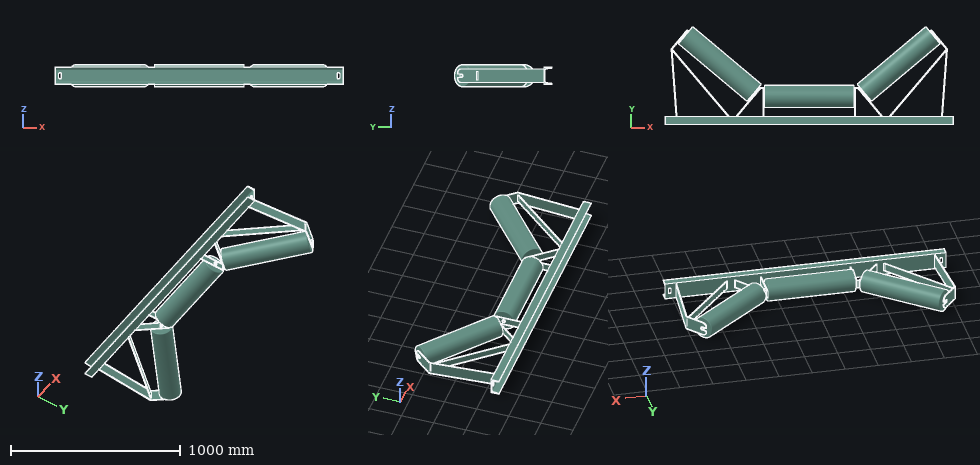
import cadquery as cq
import math

CHANNEL_LENGTH = 1700.0
CHANNEL_HEIGHT = 100.0
CHANNEL_DEPTH = 50.0
WEB_THICKNESS = 6.0
FLANGE_ROOT = 11.0
FLANGE_TOE = 6.0
ROOT_RADIUS = 8.0
TOE_RADIUS = 4.2
MOUNT_SLOT_WIDTH = 15.0
MOUNT_SLOT_HEIGHT = 35.0
MOUNT_SLOT_INSET = 29.0

ROLLER_DIAMETER = 133.0
ROLLER_LENGTH = 529.0
ROLLER_EDGE_RADIUS = 5.0
SHAFT_DIAMETER = 19.0
TROUGH_ANGLE = 40.0
CENTER_AXIS_Y = 167.0
OVERALL_DEPTH = 576.0
WING_CENTER_X = -527.0

SHEET = 6.0
WING_GAP = 7.0
CENTER_GAP = 3.0
OUTER_WIDTH = 82.0
TAB_ABOVE_AXIS = 30.0
BEND_BELOW_AXIS = 117.0
TAB_CORNER_RADIUS = 27.0
BEND_INNER_RADIUS = 7.6
OUTER_FOOT_X = -785.0
INNER_WIDTH = 50.0
INNER_TOP_Y = 220.0
BRACE_WIDTH = 50.0
BRACE_FOOT_X = -476.0

COS = math.cos(math.radians(TROUGH_ANGLE))
SIN = math.sin(math.radians(TROUGH_ANGLE))

WALL_NEAR = ROLLER_LENGTH / 2 + WING_GAP
WALL_FAR = WALL_NEAR + SHEET

WING_CENTER_Y = (
    OVERALL_DEPTH
    - ROLLER_EDGE_RADIUS
    - (ROLLER_LENGTH / 2 - ROLLER_EDGE_RADIUS) * SIN
    - (ROLLER_DIAMETER / 2 - ROLLER_EDGE_RADIUS) * COS
)


def wing_point(along, across):
    """XY point measured from the left roller's middle: along its axis (downhill) and across it (up)."""
    return (
        WING_CENTER_X + along * COS + across * SIN,
        WING_CENTER_Y - along * SIN + across * COS,
    )


def wing_wall_x(along, y):
    """X at which the wall plane square to the left roller's axis has the given Y."""
    plane_x, plane_y = wing_point(along, 0)
    return plane_x + (y - plane_y) * SIN / COS


def place_on_wing(body):
    """Moves a body built along X about the origin onto the left roller's axis."""
    return body.rotate((0, 0, 0), (0, 0, 1), -TROUGH_ANGLE).translate((WING_CENTER_X, WING_CENTER_Y, 0))


def sheet(outline, width):
    """Sheet-metal strip with the given XY edge outline, centred on Z = 0."""
    return cq.Workplane("XY").polyline(outline).close().extrude(width / 2, both=True)


def make_channel():
    half_height = CHANNEL_HEIGHT / 2
    web_front = CHANNEL_DEPTH - WEB_THICKNESS
    root_z = half_height - FLANGE_ROOT
    toe_z = half_height - FLANGE_TOE
    channel = (
        cq.Workplane("YZ")
        .polyline([
            (CHANNEL_DEPTH, -half_height),
            (CHANNEL_DEPTH, half_height),
            (0, half_height),
            (0, toe_z),
            (web_front, root_z),
            (web_front, -root_z),
            (0, -toe_z),
            (0, -half_height),
        ])
        .close()
        .extrude(CHANNEL_LENGTH / 2, both=True)
    )
    for z in (root_z, -root_z):
        channel = channel.edges(cq.NearestToPointSelector((0, web_front, z))).fillet(ROOT_RADIUS)
    for z in (toe_z, -toe_z):
        channel = channel.edges(cq.NearestToPointSelector((0, 0, z))).fillet(TOE_RADIUS)

    slot_x = CHANNEL_LENGTH / 2 - MOUNT_SLOT_INSET
    slots = (
        cq.Workplane("XZ")
        .pushPoints([(-slot_x, 0), (slot_x, 0)])
        .slot2D(MOUNT_SLOT_HEIGHT, MOUNT_SLOT_WIDTH, 90)
        .extrude(-CHANNEL_DEPTH)
    )
    return channel.cut(slots)


def make_roller(gap):
    """Roller and shaft along X about the origin; the shaft ends flush with the walls' far faces."""
    roller_end = ROLLER_LENGTH / 2
    shaft_end = roller_end + gap + SHEET
    return (
        cq.Workplane("XY")
        .polyline([
            (-shaft_end, 0),
            (-shaft_end, SHAFT_DIAMETER / 2),
            (-roller_end, SHAFT_DIAMETER / 2),
            (-roller_end, ROLLER_DIAMETER / 2),
            (roller_end, ROLLER_DIAMETER / 2),
            (roller_end, SHAFT_DIAMETER / 2),
            (shaft_end, SHAFT_DIAMETER / 2),
            (shaft_end, 0),
        ])
        .close()
        .revolve(360, (0, 0, 0), (1, 0, 0))
        .edges(cq.selectors.RadiusNthSelector(-1))
        .fillet(ROLLER_EDGE_RADIUS)
    )


def make_center_roller():
    return make_roller(CENTER_GAP).translate((0, CENTER_AXIS_Y, 0))


def make_wing_roller():
    return place_on_wing(make_roller(WING_GAP))


BEND_OUTER = wing_point(-WALL_FAR, -BEND_BELOW_AXIS)
LEG_ANGLE = math.atan2(OUTER_FOOT_X - BEND_OUTER[0], BEND_OUTER[1] - CHANNEL_DEPTH)
LEG_COS = math.cos(LEG_ANGLE)
LEG_SIN = math.sin(LEG_ANGLE)
MITER = SHEET / (1 + COS * LEG_COS - SIN * LEG_SIN)
BEND_INNER = (
    BEND_OUTER[0] + MITER * (COS + LEG_COS),
    BEND_OUTER[1] + MITER * (LEG_SIN - SIN),
)


def make_shaft_slot():
    """Cutter for the outer tab: a round-bottomed slot for the shaft, open at the tab's end."""
    slot_length = 2 * TAB_ABOVE_AXIS
    bottom = cq.Workplane("YZ").circle(SHAFT_DIAMETER / 2).extrude(SHEET)
    throat = (
        cq.Workplane("YZ")
        .center(slot_length / 2, 0)
        .rect(slot_length, SHAFT_DIAMETER)
        .extrude(SHEET)
    )
    return place_on_wing(bottom.union(throat).translate((-WALL_FAR, 0, 0)))


def make_outer_bracket():
    bracket = sheet([
        wing_point(-WALL_FAR, TAB_ABOVE_AXIS),
        BEND_OUTER,
        (OUTER_FOOT_X, CHANNEL_DEPTH),
        (OUTER_FOOT_X + SHEET / LEG_COS, CHANNEL_DEPTH),
        BEND_INNER,
        wing_point(-WALL_NEAR, TAB_ABOVE_AXIS),
    ], OUTER_WIDTH)
    for bend, radius in ((BEND_OUTER, BEND_INNER_RADIUS + SHEET), (BEND_INNER, BEND_INNER_RADIUS)):
        bracket = bracket.edges(cq.NearestToPointSelector((*bend, 0))).fillet(radius)
    tab_end = wing_point(-WALL_NEAR - SHEET / 2, TAB_ABOVE_AXIS)
    for z in (OUTER_WIDTH / 2, -OUTER_WIDTH / 2):
        bracket = bracket.edges(cq.NearestToPointSelector((*tab_end, z))).fillet(TAB_CORNER_RADIUS)
    return bracket.cut(make_shaft_slot())


def make_brace(outer_bracket):
    """Straight strip from the inside of the outer bend down to the channel."""
    start_x = (BEND_OUTER[0] + BEND_INNER[0]) / 2
    start_y = (BEND_OUTER[1] + BEND_INNER[1]) / 2
    slant = math.atan2(BRACE_FOOT_X - start_x, start_y - CHANNEL_DEPTH)
    offset_x = SHEET / 2 * math.cos(slant)
    offset_y = SHEET / 2 * math.sin(slant)
    foot_half = SHEET / 2 / math.cos(slant)
    brace = sheet([
        (start_x - offset_x, start_y - offset_y),
        (start_x + offset_x, start_y + offset_y),
        (BRACE_FOOT_X + foot_half, CHANNEL_DEPTH),
        (BRACE_FOOT_X - foot_half, CHANNEL_DEPTH),
    ], BRACE_WIDTH)
    return brace.cut(outer_bracket)


def make_inner_bracket():
    """Upright at the centre roller's end, folded over into a slanted wall at the wing roller's end."""
    upright_right = -ROLLER_LENGTH / 2 - CENTER_GAP
    upright_left = upright_right - SHEET
    underside_y = INNER_TOP_Y - SHEET
    bracket = sheet([
        (wing_wall_x(WALL_NEAR, CHANNEL_DEPTH), CHANNEL_DEPTH),
        (wing_wall_x(WALL_NEAR, INNER_TOP_Y), INNER_TOP_Y),
        (upright_right, INNER_TOP_Y),
        (upright_right, CHANNEL_DEPTH),
        (upright_left, CHANNEL_DEPTH),
        (upright_left, underside_y),
        (wing_wall_x(WALL_FAR, underside_y), underside_y),
        (wing_wall_x(WALL_FAR, CHANNEL_DEPTH), CHANNEL_DEPTH),
    ], INNER_WIDTH)
    bore = cq.Workplane("YZ").circle(SHAFT_DIAMETER / 2).extrude(SHEET)
    upright_bore = bore.translate((upright_left, CENTER_AXIS_Y, 0))
    wing_bore = place_on_wing(bore.translate((WALL_NEAR, 0, 0)))
    return bracket.cut(upright_bore).cut(wing_bore)


channel = make_channel()
center_roller = make_center_roller()
outer_bracket = make_outer_bracket()
left_bodies = [
    make_wing_roller(),
    outer_bracket,
    make_brace(outer_bracket),
    make_inner_bracket(),
]

solids = [channel.val(), center_roller.val()]
for body in left_bodies:
    solids += [*body.vals(), *body.mirror("YZ").vals()]

result = cq.Compound.makeCompound(solids)